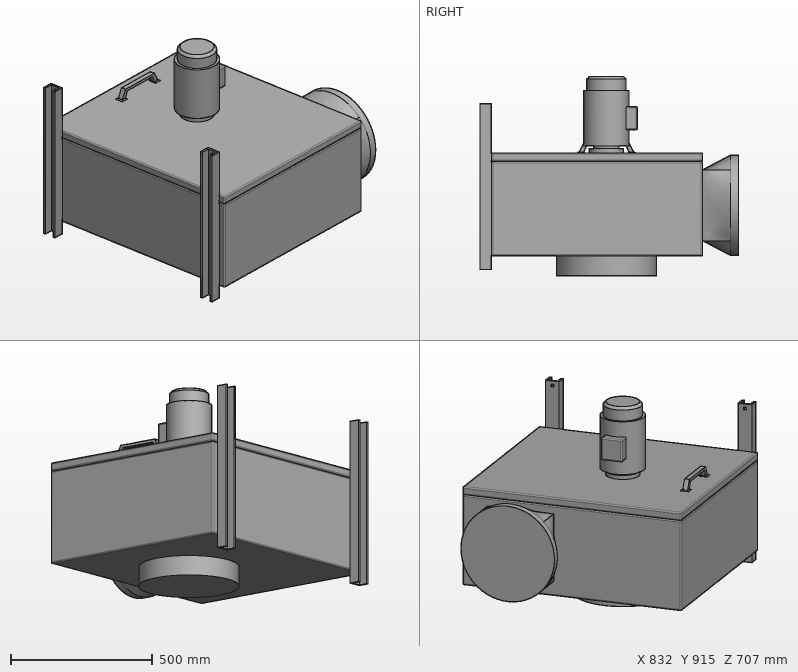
import cadquery as cq
import math


HOUSING_WIDTH = 832.0
HOUSING_DEPTH = 748.0
HOUSING_HEIGHT = 365.5
LID_HEIGHT = 30.0
EDGE_RADIUS = 5.0

AXIS_X = -60.0
AXIS_Y = 408.0

DUCT_DIAMETER = 355.0

SPIGOT_LENGTH = 70.5

OUTLET_X = 195.0
OUTLET_Z = 179.5
TRANSITION_LENGTH = 98.0
COLLAR_LENGTH = 29.0

POST_SPACING = 732.0
POST_WIDTH = 52.0
POST_DEPTH = 40.0
POST_WALL = 8.0
POST_BOTTOM = -49.0
POST_LENGTH = 588.0
POST_HOLE_DIAMETER = 11.0
POST_HOLE_END_GAP = 17.0

FLANGE_DIAMETER = 122.0
FLANGE_TOP = 15.0
NECK_DIAMETER = 91.0
BODY_DIAMETER = 161.0
BODY_BOTTOM = 25.0
BODY_TOP = 221.0
CAP_DIAMETER = 140.0
CAP_TOP = 271.0
CAP_CHAMFER = 10.0

TERMINAL_WIDTH = 80.0
TERMINAL_HEIGHT = 82.0
TERMINAL_BOTTOM = 81.5
TERMINAL_REACH = 110.0

HANDLE_X = -335.0
HANDLE_WIDTH = 18.0
HANDLE_HEIGHT = 38.0
HANDLE_THICKNESS = 10.0
HANDLE_TOP_LENGTH = 158.0
HANDLE_BASE_LENGTH = 196.0
LEG_BASE = 17.0
FOOT_WIDTH = 31.0
FOOT_LENGTH = 27.5
FOOT_HEIGHT = 3.0
FOOT_SLOPE = 65
FEET_SPAN = 209.0


def rounded_block(bottom, top):
    """Housing-sized block between two heights with every edge rounded."""
    return (
        cq.Workplane("XY", origin=(0, HOUSING_DEPTH / 2, bottom))
        .box(HOUSING_WIDTH, HOUSING_DEPTH, top - bottom, centered=(True, True, False))
        .edges()
        .fillet(EDGE_RADIUS)
    )


def make_housing():
    seam = HOUSING_HEIGHT - LID_HEIGHT
    return rounded_block(0, seam).union(rounded_block(seam, HOUSING_HEIGHT))


def make_spigot():
    return (
        cq.Workplane("XY", origin=(AXIS_X, AXIS_Y, 0))
        .circle(DUCT_DIAMETER / 2)
        .extrude(-SPIGOT_LENGTH)
    )


def make_outlet():
    radius = DUCT_DIAMETER / 2
    corner = radius / math.sqrt(2)
    collar_start = HOUSING_DEPTH + TRANSITION_LENGTH

    def section(y):
        return cq.Workplane("XZ", origin=(OUTLET_X, y, OUTLET_Z)).moveTo(-corner, -corner)

    square = (
        section(HOUSING_DEPTH)
        .lineTo(corner, -corner)
        .lineTo(corner, corner)
        .lineTo(-corner, corner)
        .close()
    )
    circle = (
        section(collar_start)
        .threePointArc((0, -radius), (corner, -corner))
        .threePointArc((radius, 0), (corner, corner))
        .threePointArc((0, radius), (-corner, corner))
        .threePointArc((-radius, 0), (-corner, -corner))
        .close()
    )
    transition = cq.Solid.makeLoft([square.val(), circle.val()], True)
    collar = (
        cq.Workplane("XZ", origin=(OUTLET_X, collar_start, OUTLET_Z))
        .circle(radius)
        .extrude(-COLLAR_LENGTH)
    )
    return collar.union(cq.Workplane(transition))


def make_post(x):
    channel = (
        cq.Workplane("XY", origin=(x, -POST_DEPTH, POST_BOTTOM))
        .box(POST_WIDTH, POST_DEPTH, POST_LENGTH, centered=(True, False, False))
    )
    groove = (
        cq.Workplane("XY", origin=(x, -POST_DEPTH, POST_BOTTOM))
        .box(
            POST_WIDTH - 2 * POST_WALL,
            POST_DEPTH - POST_WALL,
            POST_LENGTH,
            centered=(True, False, False),
        )
    )
    holes = (
        cq.Workplane("XZ", origin=(x, 0, POST_BOTTOM + POST_LENGTH / 2))
        .rarray(9, POST_LENGTH - 2 * POST_HOLE_END_GAP, 1, 2)
        .circle(POST_HOLE_DIAMETER / 2)
        .extrude(POST_DEPTH)
    )
    return channel.cut(groove).cut(holes)


def make_motor():
    def cylinder(diameter, bottom, top):
        return (
            cq.Workplane("XY", origin=(AXIS_X, AXIS_Y, HOUSING_HEIGHT + bottom))
            .circle(diameter / 2)
            .extrude(top - bottom)
        )

    cap = cylinder(CAP_DIAMETER, BODY_TOP, CAP_TOP).faces(">Z").chamfer(CAP_CHAMFER)
    terminal_box = (
        cq.Workplane("XY", origin=(AXIS_X, AXIS_Y, HOUSING_HEIGHT + TERMINAL_BOTTOM))
        .box(TERMINAL_WIDTH, TERMINAL_REACH, TERMINAL_HEIGHT, centered=(True, False, False))
        .edges("|Y or >Y")
        .fillet(EDGE_RADIUS)
    )
    return (
        cylinder(FLANGE_DIAMETER, 0, FLANGE_TOP)
        .union(cylinder(NECK_DIAMETER, FLANGE_TOP, BODY_BOTTOM))
        .union(cylinder(BODY_DIAMETER, BODY_BOTTOM, BODY_TOP))
        .union(cap)
        .union(terminal_box)
    )


def make_handle():
    top = HANDLE_TOP_LENGTH / 2
    base = HANDLE_BASE_LENGTH / 2
    inner_base = base - LEG_BASE
    under = HANDLE_HEIGHT - HANDLE_THICKNESS
    inner_top = top - HANDLE_THICKNESS
    handle = (
        cq.Workplane("YZ", origin=(HANDLE_X, AXIS_Y, HOUSING_HEIGHT))
        .polyline([
            (-base, 0),
            (-top, HANDLE_HEIGHT),
            (top, HANDLE_HEIGHT),
            (base, 0),
            (inner_base, 0),
            (inner_top, under),
            (-inner_top, under),
            (-inner_base, 0),
        ])
        .close()
        .extrude(HANDLE_WIDTH / 2, both=True)
    )
    for side in (-1, 1):
        foot_y = AXIS_Y + side * (FEET_SPAN - FOOT_LENGTH) / 2
        foot = (
            cq.Workplane("XY", origin=(HANDLE_X, foot_y, HOUSING_HEIGHT))
            .rect(FOOT_WIDTH, FOOT_LENGTH)
            .extrude(FOOT_HEIGHT, taper=FOOT_SLOPE)
        )
        handle = handle.union(foot)
    return handle


result = make_housing()
result = result.union(make_spigot())
result = result.union(make_outlet())
result = result.union(make_motor())
result = result.union(make_handle())
for post_x in (-POST_SPACING / 2, POST_SPACING / 2):
    result = result.union(make_post(post_x))